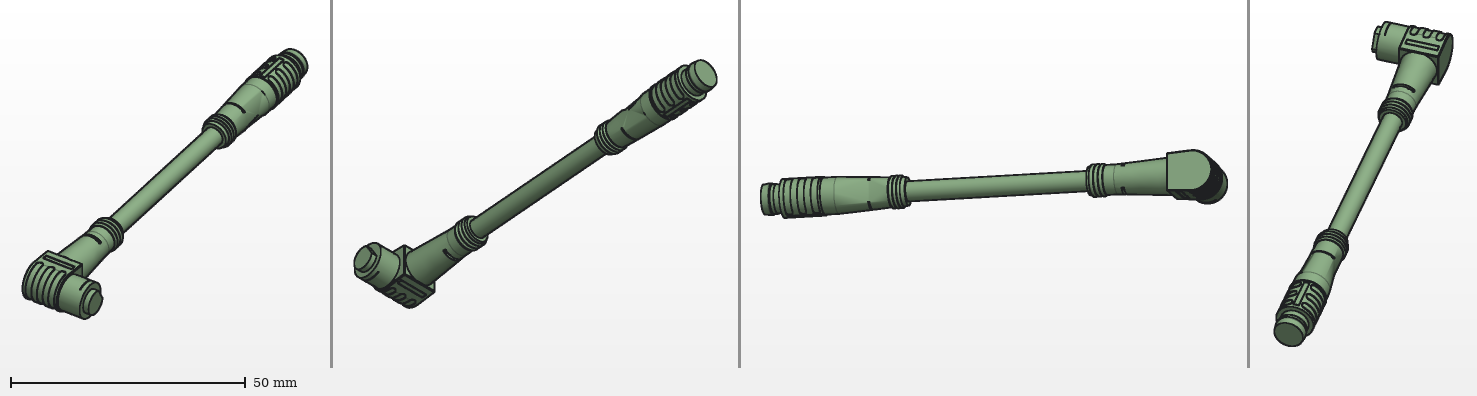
import cadquery as cq
import math


overall_length = 99.7
head_radius = 4.5
tip_end = overall_length - head_radius

cable_diameter = 4.4
cable_start = 23.6
cable_end = 63.6
collar_length = 3.7
collar_face_diameter = 6.1
collar_root_diameter = 6.3
collar_ring_diameter = 7.1
collar_lead_diameter = 6.5
ring_count = 3
ring_land = 0.15
angled_collar_lead = 0.6
straight_collar_lead = 1.0
grip_diameter = 6.5

notch_floor = 2.4
angled_notch_place = 15.8
angled_notch_width = 0.6
straight_notch_place = 71.6
straight_notch_width = 0.3

relief_depth = 0.2
groove_width = 1.5
groove_count = 3
panel_width = 1.2

snap_diameter = 6.9
tip_diameter = 6.5
neck_diameter = 6.3
snap_start = 93.7
snap_end = 93.4
tip_back_end = 92.4
sleeve_front = 90.9
sleeve_back = 82.0
sleeve_diameter = 8.4
barrel_diameter = 8.0
barrel_back = 79.0
taper_middle_diameter = 7.3
sleeve_groove_first = 83.2
sleeve_groove_pitch = 3.0
sleeve_groove_inner = 1.1
sleeve_panel_length = 7.5

head_width = 9.0
head_back = 5.6
head_side_angle = 4.0
head_edge_chamfer = 0.2
grip_cylinder_end = 17.5
grip_large_diameter = 8.2
head_groove_pitch = 2.9
head_groove_end = 0.8
head_panel_length = 7.2
head_panel_place = 3.1
socket_diameter = 8.3
socket_end = 10.0
nose_diameter = 5.6
nose_end = 11.4
nose_flat_distance = 2.2
nose_flat_angle = 60.0
latch_ridge_diameter = 8.5
latch_ridge_place = 8.7
latch_ridge_width = 0.1
latch_ridge_span = 4.0


def revolve_about_cable(profile):
    return profile.close().revolve(360, (0, 0, 0), (0, 1, 0))


def y_cylinder(diameter, start, end):
    return cq.Workplane("XZ", origin=(0, start, 0)).circle(diameter / 2).extrude(start - end)


def x_cylinder(diameter, start, end):
    return cq.Workplane("YZ", origin=(start, 0, 0)).circle(diameter / 2).extrude(end - start)


def collar(face_place, direction, lead):
    """Collar with rounded rings; `direction` (+1 or -1) points along Y away from the cable."""

    def place(distance):
        return face_place + direction * distance

    root = collar_root_diameter / 2
    ring_top = collar_ring_diameter / 2
    ring_pitch = (collar_length - lead) / ring_count
    profile = (
        cq.Workplane("XY")
        .moveTo(0, place(0))
        .lineTo(collar_face_diameter / 2, place(0))
        .lineTo(collar_lead_diameter / 2, place(lead))
        .lineTo(root, place(lead))
    )
    for index in range(ring_count):
        ring_start = lead + index * ring_pitch
        ring_end = ring_start + ring_pitch - ring_land
        ring_middle = (ring_start + ring_end) / 2
        profile = profile.threePointArc((ring_top, place(ring_middle)), (root, place(ring_end)))
        profile = profile.lineTo(root, place(ring_end + ring_land))
    profile = profile.lineTo(0, place(collar_length))
    return revolve_about_cable(profile)


def cut_notches(body, place, width):
    """Cut the flat-floored notches across the top and the bottom of a grip."""
    depth = head_radius - notch_floor
    for side in (1, -1):
        middle_height = side * (notch_floor + depth / 2)
        notch = cq.Workplane("XY").box(2 * head_radius, width, depth)
        body = body.cut(notch.translate((0, place, middle_height)))
    return body


def sleeve_grooves():
    """Ring-shaped grooves with rounded ends, one stack on each side of the middle plane."""
    ring = y_cylinder(2 * sleeve_diameter, sleeve_back, sleeve_front).cut(
        y_cylinder(sleeve_diameter - 2 * relief_depth, sleeve_back, sleeve_front)
    )
    slot_length = sleeve_diameter
    slot_middle = sleeve_groove_inner + slot_length / 2
    places = [
        (side * slot_middle, sleeve_groove_first + index * sleeve_groove_pitch)
        for side in (1, -1)
        for index in range(groove_count)
    ]
    outlines = cq.Workplane("XY").pushPoints(places).slot2D(slot_length, groove_width)
    slots = outlines.extrude(sleeve_diameter, both=True)
    return ring.intersect(slots)


def sleeve_panels():
    """Long recessed panels on the top and the bottom of the sleeve."""
    middle = sleeve_groove_first + (groove_count - 1) * sleeve_groove_pitch / 2
    height = sleeve_diameter / 2
    panel = cq.Workplane("XY").box(panel_width, sleeve_panel_length, 2 * relief_depth)
    return panel.translate((0, middle, height)).union(panel.translate((0, middle, -height)))


def make_straight_connector():
    grip_end = cable_end + collar_length
    profile = (
        cq.Workplane("XY")
        .moveTo(0, tip_end)
        .lineTo(tip_diameter / 2, tip_end)
        .lineTo(snap_diameter / 2, snap_start)
        .lineTo(snap_diameter / 2, snap_end)
        .lineTo(tip_diameter / 2, snap_end - relief_depth)
        .lineTo(tip_diameter / 2, tip_back_end)
        .lineTo(neck_diameter / 2, tip_back_end)
        .lineTo(neck_diameter / 2, sleeve_front)
        .lineTo(sleeve_diameter / 2, sleeve_front)
        .lineTo(sleeve_diameter / 2, sleeve_back)
        .lineTo(barrel_diameter / 2, sleeve_back)
        .lineTo(barrel_diameter / 2, barrel_back)
        .threePointArc(
            (taper_middle_diameter / 2, (barrel_back + grip_end) / 2),
            (grip_diameter / 2, grip_end),
        )
        .lineTo(0, grip_end)
    )
    body = revolve_about_cable(profile).cut(sleeve_grooves()).cut(sleeve_panels())
    body = cut_notches(body, straight_notch_place, straight_notch_width)
    return body.union(collar(cable_end, 1, straight_collar_lead))


def make_head():
    """Head block: half-round toward -Y, with sides leaning in toward the cable."""
    lean = math.radians(head_side_angle)
    tangent_place = head_radius * math.sin(lean)
    tangent_height = head_radius * math.cos(lean)
    back_height = tangent_height - (head_back - tangent_place) * math.tan(lean)
    return (
        cq.Workplane("YZ", origin=(-head_width / 2, 0, 0))
        .moveTo(head_back, -back_height)
        .lineTo(head_back, back_height)
        .lineTo(tangent_place, tangent_height)
        .threePointArc((-head_radius, 0), (tangent_place, -tangent_height))
        .close()
        .extrude(head_width)
        .faces("<X or >X or >Y")
        .chamfer(head_edge_chamfer)
    )


def head_grooves():
    """Grooves around the half-round side, ending in rounded tips on the top and bottom."""
    side = head_width / 2
    floor_diameter = 2 * (head_radius - relief_depth)
    ring = x_cylinder(4 * head_radius, -side, side).cut(x_cylinder(floor_diameter, -side, side))
    slot_length = 2 * head_radius
    first = -(groove_count - 1) / 2 * head_groove_pitch
    slot_middle = head_groove_end - slot_length / 2
    places = [(first + index * head_groove_pitch, slot_middle) for index in range(groove_count)]
    outlines = cq.Workplane("XY").pushPoints(places).slot2D(slot_length, groove_width, 90)
    slots = outlines.extrude(head_radius, both=True)
    return ring.intersect(slots)


def head_panels():
    """Recessed panels that follow the leaning top and bottom of the head."""
    lean = math.radians(head_side_angle)
    surface = (head_radius - head_panel_place * math.sin(lean)) / math.cos(lean)
    panel = cq.Workplane("XY").box(head_panel_length, panel_width, 2 * relief_depth)
    top = panel.rotate((0, 0, 0), (1, 0, 0), -head_side_angle).translate((0, head_panel_place, surface))
    return top.union(top.mirror("XY"))


def latch_ridges():
    """Thin low ridges over the top and the bottom of the socket barrel."""
    end = latch_ridge_place + latch_ridge_width
    ring = x_cylinder(latch_ridge_diameter, latch_ridge_place, end)
    band = cq.Workplane("XY").box(2 * socket_end, latch_ridge_span, 2 * latch_ridge_diameter)
    return ring.intersect(band)


def make_nose():
    """Socket nose with a keying flat along one upper side."""
    waste = (
        cq.Workplane("XY", origin=((socket_end + nose_end) / 2, 0, nose_flat_distance))
        .box(nose_end - socket_end, nose_diameter, nose_diameter, centered=(True, True, False))
        .rotate((0, 0, 0), (1, 0, 0), -nose_flat_angle)
    )
    return x_cylinder(nose_diameter, socket_end, nose_end).cut(waste)


def make_angled_connector():
    """Angled connector moulded in one piece with the cable."""
    grip_end = cable_start - collar_length
    grip_profile = (
        cq.Workplane("XY")
        .moveTo(0, grip_end)
        .lineTo(grip_diameter / 2, grip_end)
        .lineTo(grip_diameter / 2, grip_cylinder_end)
        .lineTo(grip_large_diameter / 2, head_back)
        .lineTo(0, head_back)
    )
    grip = cut_notches(revolve_about_cable(grip_profile), angled_notch_place, angled_notch_width)
    head = make_head().cut(head_grooves()).cut(head_panels())
    return (
        head.union(grip)
        .union(collar(cable_start, -1, angled_collar_lead))
        .union(y_cylinder(cable_diameter, cable_start, cable_end))
        .union(x_cylinder(socket_diameter, head_width / 2, socket_end))
        .union(latch_ridges())
        .union(make_nose())
    )


straight_connector = make_straight_connector()
angled_connector = make_angled_connector()

result = cq.Compound.makeCompound([straight_connector.val(), angled_connector.val()])